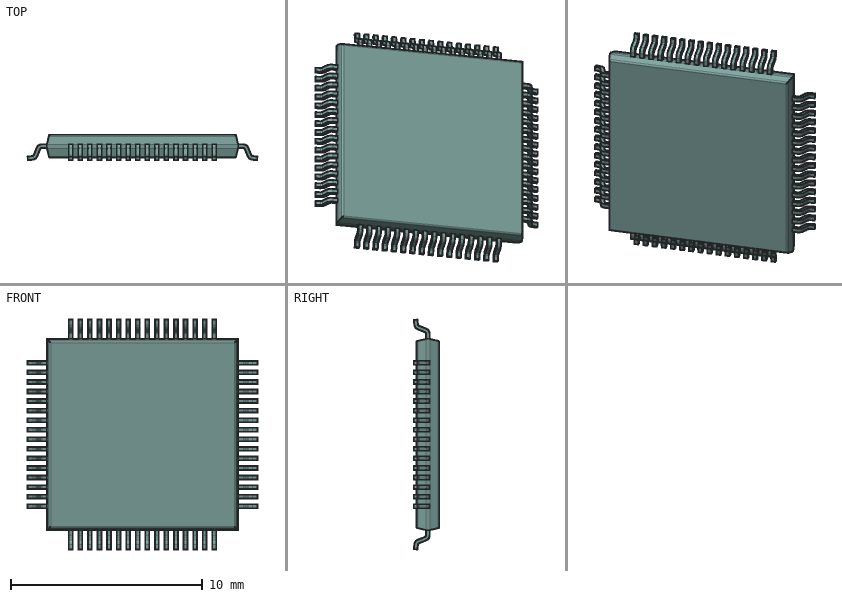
import cadquery as cq
import math


overall_span = 12.03
overall_depth = 1.35

body_size = 10.0
body_depth = 1.2
body_draft = 13.0
body_edge_radius = 0.1

leads_per_side = 16
row_span = 7.5
lead_width = 0.22
lead_thickness = 0.2
bend_inner_radius = 0.1
shank_angle = 68.0
foot_angle = 7.0
foot_length = 0.25

lead_pitch = row_span / (leads_per_side - 1)
bend_radius = bend_inner_radius + lead_thickness / 2
band_depth = lead_thickness
root_overlap = lead_thickness

lead_bottom = body_depth / 2 - overall_depth


def make_body():
    """Straight band with a drafted half on each side, rounded around both faces."""
    half_depth = (body_depth - band_depth) / 2
    band = cq.Workplane("XZ").rect(body_size, body_size).extrude(band_depth / 2, both=True)
    front_half = (
        cq.Workplane("XZ", origin=(0, -band_depth / 2, 0))
        .rect(body_size, body_size)
        .extrude(half_depth, taper=body_draft)
        .faces("<Y").edges().fillet(body_edge_radius)
    )
    back_half = front_half.mirror("XZ")
    return band.union(front_half).union(back_half)


def bend_travel(start_angle, end_angle):
    """Outward and downward travel of the centreline around a bend between two slopes."""
    start = math.radians(start_angle)
    end = math.radians(end_angle)
    outward = bend_radius * abs(math.sin(end) - math.sin(start))
    downward = bend_radius * abs(math.cos(end) - math.cos(start))
    return outward, downward


def face_point(x, y, angle, side):
    """Point on the upper (+1) or lower (-1) lead face beside a centreline point."""
    offset = side * lead_thickness / 2
    return x + offset * math.sin(angle), y + offset * math.cos(angle)


def make_lead():
    """Gull-wing lead pointing to +X, centred on Z = 0."""
    shank = math.radians(shank_angle)
    foot = math.radians(foot_angle)
    shoulder_out, shoulder_down = bend_travel(0, shank_angle)
    heel_out, heel_down = bend_travel(shank_angle, foot_angle)

    tip_x = overall_span / 2 - lead_thickness / 2 * math.sin(foot)
    tip_y = lead_bottom + lead_thickness / 2 * math.cos(foot)
    heel_end_x = tip_x - foot_length * math.cos(foot)
    heel_end_y = tip_y + foot_length * math.sin(foot)
    heel_start_x = heel_end_x - heel_out
    heel_start_y = heel_end_y + heel_down

    shank_drop = -shoulder_down - heel_start_y
    shoulder_end_x = heel_start_x - shank_drop / math.tan(shank)
    shoulder_start_x = shoulder_end_x - shoulder_out

    root_x = body_size / 2 - root_overlap
    profile = (
        cq.Workplane("XY", origin=(0, 0, -lead_width / 2))
        .moveTo(*face_point(root_x, 0, 0, 1))
        .lineTo(*face_point(shoulder_start_x, 0, 0, 1))
        .tangentArcPoint(face_point(shoulder_end_x, -shoulder_down, shank, 1), relative=False)
        .lineTo(*face_point(heel_start_x, heel_start_y, shank, 1))
        .tangentArcPoint(face_point(heel_end_x, heel_end_y, foot, 1), relative=False)
        .lineTo(*face_point(tip_x, tip_y, foot, 1))
        .lineTo(*face_point(tip_x, tip_y, foot, -1))
        .lineTo(*face_point(heel_end_x, heel_end_y, foot, -1))
        .tangentArcPoint(face_point(heel_start_x, heel_start_y, shank, -1), relative=False)
        .lineTo(*face_point(shoulder_end_x, -shoulder_down, shank, -1))
        .tangentArcPoint(face_point(shoulder_start_x, 0, 0, -1), relative=False)
        .lineTo(*face_point(root_x, 0, 0, -1))
        .close()
    )
    return profile.extrude(lead_width)


def make_all_leads():
    """The same row of leads on each of the four sides."""
    lead = make_lead()
    leads = []
    for side_angle in (0, 90, 180, 270):
        for index in range(leads_per_side):
            placed = lead.translate((0, 0, index * lead_pitch - row_span / 2))
            leads.append(placed.rotate((0, 0, 0), (0, 1, 0), side_angle).val())
    return leads


result = cq.Workplane(make_body().val().fuse(*make_all_leads()).Solids()[0])